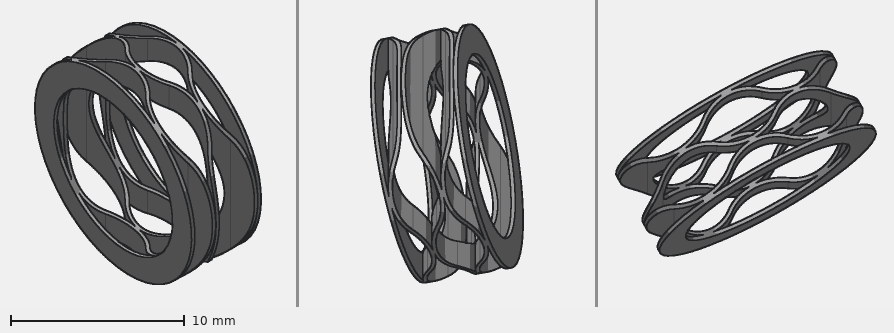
import cadquery as cq
import math

OUTER_DIAMETER = 14.24
INNER_DIAMETER = 10.78
OVERALL_LENGTH = 5.18
WASHER_THICKNESS = 0.25
STRIP_THICKNESS = 0.24
WAVE_LAYERS = 3
WAVE_LENGTH = 7.5
CENTRE_PEAK_RADIUS = 3.0
JOINT_OVERLAP = 0.02
TRIM_MARGIN = 1.0

OUTER_RADIUS = OUTER_DIAMETER / 2
INNER_RADIUS = INNER_DIAMETER / 2
HALF_LENGTH = OVERALL_LENGTH / 2
HALF_WAVE = WAVE_LENGTH / 2
STOCK_WIDTH = OUTER_DIAMETER + 2 * TRIM_MARGIN

JOINT_COUNT = WAVE_LAYERS + 1
WAVE_SPACE = OVERALL_LENGTH - 2 * WASHER_THICKNESS
WAVE_HEIGHT = (WAVE_SPACE + JOINT_COUNT * JOINT_OVERLAP) / WAVE_LAYERS
LAYER_PITCH = WAVE_HEIGHT - JOINT_OVERLAP

MID_LINE_RISE = WAVE_HEIGHT - STRIP_THICKNESS
RADIUS_SUM = (HALF_WAVE ** 2 + MID_LINE_RISE ** 2) / (2 * MID_LINE_RISE)
SIDE_PEAK_RADIUS = RADIUS_SUM - CENTRE_PEAK_RADIUS
ARC_HALF_ANGLE = math.asin(HALF_WAVE / RADIUS_SUM)

PEAKS_PER_SIDE = math.ceil(OUTER_RADIUS / HALF_WAVE)


def ring():
    """Tube with the washer diameters over the full length of the spring."""
    end_plane = cq.Plane((0, -HALF_LENGTH, 0), xDir=(0, 0, 1), normal=(0, 1, 0))
    return cq.Workplane(end_plane).circle(OUTER_RADIUS).circle(INNER_RADIUS).extrude(OVERALL_LENGTH)


def washer_stock(side):
    """Square plate at the +Y end (side = 1) or the -Y end (side = -1)."""
    y_mid = side * (HALF_LENGTH - WASHER_THICKNESS / 2)
    return cq.Workplane("XY").box(STOCK_WIDTH, WASHER_THICKNESS, STOCK_WIDTH).translate((0, y_mid, 0))


def strip_edge(y_mid, centre_direction, offset):
    """Arcs (start, middle, end) of the strip mid-line shifted by offset towards +Y."""
    arcs = []
    for peak in range(-PEAKS_PER_SIDE, PEAKS_PER_SIDE + 1):
        if peak % 2 == 0:
            direction = centre_direction
            mid_line_radius = CENTRE_PEAK_RADIUS
        else:
            direction = -centre_direction
            mid_line_radius = SIDE_PEAK_RADIUS
        x_peak = peak * HALF_WAVE
        y_centre = y_mid + direction * (MID_LINE_RISE / 2 - mid_line_radius)
        radius = mid_line_radius + direction * offset
        reach = radius * math.sin(ARC_HALF_ANGLE)
        y_end = y_centre + direction * radius * math.cos(ARC_HALF_ANGLE)
        start = (x_peak - reach, y_end)
        middle = (x_peak, y_centre + direction * radius)
        end = (x_peak + reach, y_end)
        arcs.append((start, middle, end))
    return arcs


def strip_stock(y_mid, centre_direction):
    """Untrimmed wavy strip whose peak at X = 0 points to +Y (1) or -Y (-1)."""
    upper = strip_edge(y_mid, centre_direction, STRIP_THICKNESS / 2)
    lower = strip_edge(y_mid, centre_direction, -STRIP_THICKNESS / 2)
    first_point = upper[0][0]
    last_lower_point = lower[-1][2]
    profile = cq.Workplane("XY").moveTo(*first_point)
    for _, middle, end in upper:
        profile = profile.threePointArc(middle, end)
    profile = profile.lineTo(*last_lower_point)
    for start, middle, _ in reversed(lower):
        profile = profile.threePointArc(middle, start)
    return profile.close().extrude(STOCK_WIDTH / 2, both=True)


stack = washer_stock(1).union(washer_stock(-1))
for layer in range(WAVE_LAYERS):
    layer_y = (layer - (WAVE_LAYERS - 1) / 2) * LAYER_PITCH
    layer_direction = 1 if layer % 2 == 0 else -1
    stack = stack.union(strip_stock(layer_y, layer_direction))

result = stack.intersect(ring())